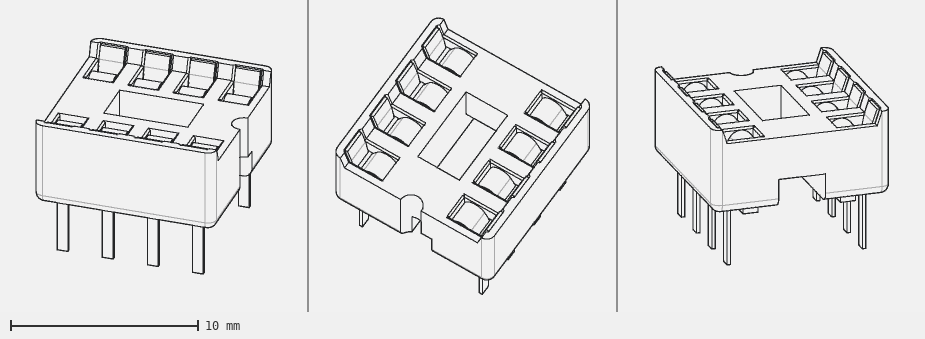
import cadquery as cq
import math


LENGTH = 10.16
WIDTH = 10.0
HEIGHT = 4.79
EDGE_RADIUS = 0.5
FLOOR_Z = HEIGHT - 0.79
SLOPE_TOP_Y = 4.49
SLOPE_BOTTOM_Y = 4.23

WINDOW_LENGTH = 4.73
CHANNEL_WIDTH = 2.64
CHANNEL_HEIGHT = 1.6
KEY_WALL_Y = -0.3
INDEX_RADIUS = 0.65

RIB_LENGTH = LENGTH - 2 * EDGE_RADIUS
RIB_WIDTH = 0.85
RIB_HEIGHT = 0.33
RIB_Y = 2.74

PITCH = 2.54
CONTACTS_PER_ROW = 4
CONTACT_X = [(i - (CONTACTS_PER_ROW - 1) / 2) * PITCH for i in range(CONTACTS_PER_ROW)]

POCKET_WIDTH = 1.5
POCKET_INNER_Y = 2.09
MOUTH_CHAMFER = 0.11

CONTACT_WIDTH = 1.38
SPRING_Y = 2.81
SPRING_RADIUS = SPRING_Y - POCKET_INNER_Y
SPRING_SINK = 0.1
SPRING_Z = FLOOR_Z - SPRING_SINK - SPRING_RADIUS
TANGENT_Y = 3.41
FLANK_END_Y = 3.75
CONTACT_ROOT_Z = 2.44
LEAF_BOTTOM_Y = 3.97
LEAF_FLOOR_Y = 4.16
LEAF_TOP_Y = 4.41
LEAF_TOP_Z = HEIGHT - 0.07
PIN_WIDTH = 0.61
PIN_THICKNESS = 0.2
PIN_Y = 3.81
PIN_LENGTH = 3.31

SLOPE_RUN = (SLOPE_TOP_Y - SLOPE_BOTTOM_Y) / (HEIGHT - FLOOR_Z)
BACK_SHIFT = MOUTH_CHAMFER * math.hypot(1, SLOPE_RUN)

TANGENT_RISE = math.sqrt(SPRING_RADIUS ** 2 - (TANGENT_Y - SPRING_Y) ** 2)
TANGENT_Z = SPRING_Z + TANGENT_RISE
FLANK_STEEPNESS = (TANGENT_Y - SPRING_Y) / TANGENT_RISE
POCKET_BOTTOM_Z = TANGENT_Z - (FLANK_END_Y - TANGENT_Y) * FLANK_STEEPNESS


def slope_y(z):
    """Y of the inner rim face at height z."""
    return SLOPE_TOP_Y - (HEIGHT - z) * SLOPE_RUN


def back_wall_y(z):
    """Y of the pocket back wall at height z."""
    return slope_y(z) + BACK_SHIFT


def box(x_range, y_range, z_range):
    """Axis-aligned block between the given limits."""
    (x0, x1), (y0, y1), (z0, z1) = x_range, y_range, z_range
    return cq.Workplane("XY").box(x1 - x0, y1 - y0, z1 - z0, centered=False).translate((x0, y0, z0))


def extrude_along_x(profile, width):
    """Closed YZ profile extruded evenly to both sides of X = 0."""
    return profile.close().extrude(width / 2, both=True)


def make_housing():
    housing = cq.Workplane("XY").box(LENGTH, WIDTH, HEIGHT, centered=(True, True, False))
    housing = housing.edges("|Z or <Z").fillet(EDGE_RADIUS)
    chip_seat = cq.Workplane("YZ").polyline([
        (-SLOPE_BOTTOM_Y, FLOOR_Z),
        (SLOPE_BOTTOM_Y, FLOOR_Z),
        (SLOPE_TOP_Y, HEIGHT),
        (-SLOPE_TOP_Y, HEIGHT),
    ])
    return housing.cut(extrude_along_x(chip_seat, LENGTH))


def make_openings():
    half_window = WINDOW_LENGTH / 2
    half_channel = CHANNEL_WIDTH / 2
    window = box((-half_window, half_window), (-half_channel, half_channel), (0, HEIGHT))
    channel = box((-LENGTH / 2, 0), (-half_channel, half_channel), (0, CHANNEL_HEIGHT))
    keyed_channel = box((0, LENGTH / 2), (KEY_WALL_Y, half_channel), (0, CHANNEL_HEIGHT))
    index_notch = cq.Workplane("XY").center(LENGTH / 2, 0).circle(INDEX_RADIUS).extrude(HEIGHT)
    return window.union(channel).union(keyed_channel).union(index_notch)


def mouth_outline(x, depth, inner_y):
    """YZ wire over the chip seat, with its floor and rim face sunk by depth along their normals."""
    floor_z = FLOOR_Z - depth
    shift = depth * math.hypot(1, SLOPE_RUN)
    return cq.Wire.makePolygon([
        cq.Vector(x, inner_y, floor_z),
        cq.Vector(x, slope_y(floor_z) + shift, floor_z),
        cq.Vector(x, slope_y(HEIGHT) + shift, HEIGHT),
        cq.Vector(x, inner_y, HEIGHT),
    ], close=True)


def make_pocket(inner_chamfer):
    """Pocket of the +Y row at X = 0, with chamfered mouth edges."""
    pocket = extrude_along_x(cq.Workplane("YZ").polyline([
        (POCKET_INNER_Y, POCKET_BOTTOM_Z),
        (back_wall_y(POCKET_BOTTOM_Z), POCKET_BOTTOM_Z),
        (back_wall_y(HEIGHT), HEIGHT),
        (POCKET_INNER_Y, HEIGHT),
    ]), POCKET_WIDTH)
    wall_x = POCKET_WIDTH / 2
    for side in (-1, 1):
        bevel = cq.Solid.makeLoft([
            mouth_outline(side * wall_x, MOUTH_CHAMFER, POCKET_INNER_Y),
            mouth_outline(side * (wall_x + MOUTH_CHAMFER), 0, POCKET_INNER_Y - inner_chamfer),
        ], True)
        pocket = pocket.union(cq.Workplane(bevel))
    if inner_chamfer:
        bevel = extrude_along_x(cq.Workplane("YZ").polyline([
            (POCKET_INNER_Y, FLOOR_Z - inner_chamfer),
            (POCKET_INNER_Y, FLOOR_Z),
            (POCKET_INNER_Y - inner_chamfer, FLOOR_Z),
        ]), POCKET_WIDTH)
        pocket = pocket.union(bevel)
    return pocket


def make_contact():
    """Spring contact and pin of the +Y row at X = 0."""
    profile = (
        cq.Workplane("YZ")
        .moveTo(POCKET_INNER_Y, CONTACT_ROOT_Z)
        .lineTo(POCKET_INNER_Y, SPRING_Z)
        .threePointArc((SPRING_Y, SPRING_Z + SPRING_RADIUS), (TANGENT_Y, TANGENT_Z))
        .lineTo(FLANK_END_Y, POCKET_BOTTOM_Z)
        .lineTo(LEAF_BOTTOM_Y, POCKET_BOTTOM_Z)
        .lineTo(LEAF_FLOOR_Y, FLOOR_Z)
        .lineTo(LEAF_TOP_Y, LEAF_TOP_Z)
        .lineTo(back_wall_y(LEAF_TOP_Z), LEAF_TOP_Z)
        .lineTo(back_wall_y(CONTACT_ROOT_Z), CONTACT_ROOT_Z)
    )
    half_thickness = PIN_THICKNESS / 2
    pin = box(
        (-PIN_WIDTH / 2, PIN_WIDTH / 2),
        (PIN_Y - half_thickness, PIN_Y + half_thickness),
        (-PIN_LENGTH, CONTACT_ROOT_Z),
    )
    return extrude_along_x(profile, CONTACT_WIDTH).union(pin)


def make_rib():
    return box(
        (-RIB_LENGTH / 2, RIB_LENGTH / 2),
        (RIB_Y - RIB_WIDTH / 2, RIB_Y + RIB_WIDTH / 2),
        (-RIB_HEIGHT, 0),
    )


result = make_housing().cut(make_openings())
for is_mirrored, inner_chamfer in ((False, MOUTH_CHAMFER), (True, 0)):
    pocket = make_pocket(inner_chamfer)
    contact = make_contact()
    rib = make_rib()
    if is_mirrored:
        pocket, contact, rib = (shape.mirror("XZ") for shape in (pocket, contact, rib))
    result = result.union(rib)
    for x in CONTACT_X:
        result = result.cut(pocket.translate((x, 0, 0)))
        result = result.union(contact.translate((x, 0, 0)))